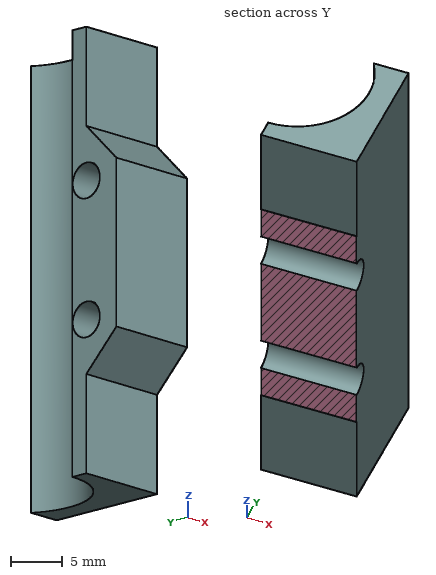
import cadquery as cq

width = 10.0
length = 45.0
plate_depth = 13.35

pad_height = 4.0
pad_base_length = 25.0
pad_top_length = 17.0

channel_radius = 7.5
channel_wall = 1.85

hole_diameter = 3.6
hole_spacing = 14.0


def make_body():
    """Plate with the trapezoidal pad, extruded across the width; y = 0 is the foot of the pad."""
    profile = [
        (plate_depth, -length / 2),
        (plate_depth, length / 2),
        (0, length / 2),
        (0, pad_base_length / 2),
        (-pad_height, pad_top_length / 2),
        (-pad_height, -pad_top_length / 2),
        (0, -pad_base_length / 2),
        (0, -length / 2),
    ]
    return cq.Workplane("YZ").polyline(profile).close().extrude(width)


def make_channel():
    """Full-length cylinder that hollows the x = 0 side."""
    channel_axis_y = channel_wall + channel_radius
    return (
        cq.Workplane("XY")
        .center(0, channel_axis_y)
        .circle(channel_radius)
        .extrude(length / 2, both=True)
    )


def make_cross_holes():
    """Two holes along X, spaced evenly about mid-length."""
    centres = [(0, side * hole_spacing / 2) for side in (-1, 1)]
    return cq.Workplane("YZ").pushPoints(centres).circle(hole_diameter / 2).extrude(width)


result = make_body().cut(make_channel()).cut(make_cross_holes())